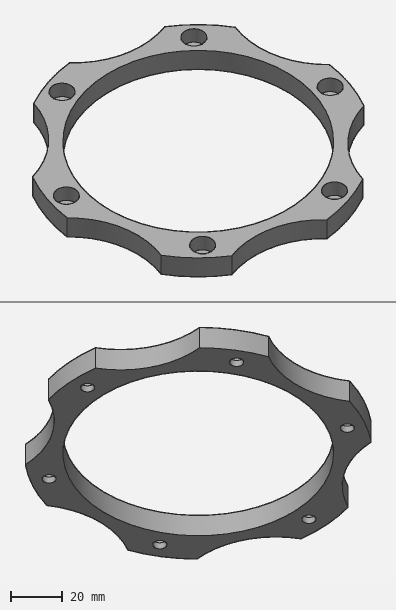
import cadquery as cq
import math

outer_radius = 67.5
bore_diameter = 105.0
thickness = 10.0

lobe_count = 6
bolt_circle_radius = 60.0
first_hole_angle = 90.0
hole_diameter = 5.4
counterbore_diameter = 10.0
counterbore_depth = 7.0

scallop_span = 36.6
scallop_floor_radius = 58.0
first_scallop_angle = 57.8

half_chord = outer_radius * math.sin(math.radians(scallop_span / 2))
chord_distance = outer_radius * math.cos(math.radians(scallop_span / 2))
scallop_depth = chord_distance - scallop_floor_radius
scallop_radius = (half_chord**2 + scallop_depth**2) / (2 * scallop_depth)
scallop_center_radius = scallop_floor_radius + scallop_radius


def around_axis(radius, start_angle):
    """Workplane with one point per lobe, evenly spaced on a circle."""
    return cq.Workplane("XY").polarArray(radius, start_angle, 360, lobe_count)


ring = cq.Workplane("XY").circle(outer_radius).circle(bore_diameter / 2).extrude(thickness)

scallops = around_axis(scallop_center_radius, first_scallop_angle).circle(scallop_radius).extrude(thickness)

holes = around_axis(bolt_circle_radius, first_hole_angle).circle(hole_diameter / 2).extrude(thickness)

counterbores = (
    around_axis(bolt_circle_radius, first_hole_angle)
    .circle(counterbore_diameter / 2)
    .extrude(counterbore_depth)
    .translate((0, 0, thickness - counterbore_depth))
)

result = ring.cut(scallops).cut(holes).cut(counterbores)